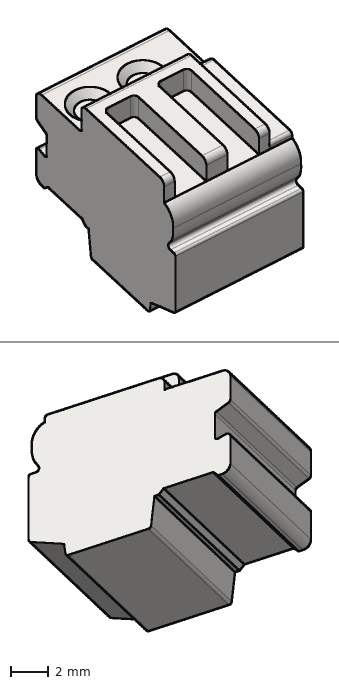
import cadquery as cq

LENGTH = 12.5
WIDTH = 8.5
HEIGHT = 10.6

POLE_COUNT = 2
POLE_PITCH = 3.5
POLES_WIDTH = POLE_COUNT * POLE_PITCH

TOWER_LEFT = 4.08
TOWER_RIGHT = 11.5
TOWER_RADIUS = 0.4
SHOULDER_HEIGHT = 8.6
SHOULDER_RADIUS = 0.5
TOWER_ROOT_RADIUS = 0.14

STRIP_HEIGHT = 9.45
STRIP_LEFT_RADIUS = 0.4
STRIP_RIGHT_RADIUS = 0.21

NOSE_TOP = 9.02
NOSE_CROWN = (12.08, 8.6)
NOSE_FRONT = (12.3, 7.75)
NOSE_CHEEK = (12.29, 7.22)
NOSE_UNDERSIDE = (12.15, 6.74)
NOSE_ROOT = 11.69
NOSE_ROOT_RADIUS = 0.2
SHELF_HEIGHT = 5.99
SHELF_RADIUS = 0.15

GROOVE_DEPTH = 0.95
GROOVE_TOP_OUTER = 6.46
GROOVE_TOP_INNER = 6.06
GROOVE_BOTTOM_OUTER = 4.52
GROOVE_BOTTOM_INNER = 4.29
GROOVE_RADIUS = 0.15
GROOVE_UPPER_LIP_RADIUS = 0.19
GROOVE_LOWER_LIP_RADIUS = 0.22

FOOT_HEIGHT = 1.98
FOOT_RADIUS = 0.5
FOOT_RIGHT = 0.76
RELIEF_RISE = 0.3
RELIEF_END = 4.42
PLUG_TOP_LEFT = 4.7
PLUG_BOTTOM_LEFT = 4.92
PLUG_BOTTOM_RIGHT = 10.19
PLUG_TOP_RIGHT = 10.3
PLUG_TOP_HEIGHT = 0.8
PLUG_RADIUS = 0.18
SLOPE_TOP_HEIGHT = 1.68
SLOPE_RADIUS = 0.22
SLOPE_ROOT_RADIUS = 0.12

FIRST_POCKET_Y = POLE_PITCH / 2
POCKET_LEFT = 5.11
POCKET_WIDTH = 2.1
POCKET_RADIUS = 0.3

SCREW_X = 2.6
FIRST_SCREW_Y = 1.66
SCREW_TOP_DIAMETER = 2.7
SCREW_FLOOR_DIAMETER = 1.72
SCREW_DEPTH = (SCREW_TOP_DIAMETER - SCREW_FLOOR_DIAMETER) / 2

PICK_REACH = 0.02


def extrude_along_y(outline, start, end):
    """Extrude a closed XZ outline from Y = start to Y = end."""
    return outline.extrude(start - end).translate((0, start, 0))


def round_edge(body, x, z, radius):
    """Round the edge that runs along Y through (x, z)."""
    picker = cq.selectors.BoxSelector(
        (x - PICK_REACH, 0, z - PICK_REACH), (x + PICK_REACH, WIDTH, z + PICK_REACH)
    )
    return body.edges("|Y").edges(picker).fillet(radius)


def make_base():
    """Full-width body: shoulder, groove, foot, plug, shelf and latch nose."""
    outline = (
        cq.Workplane("XZ")
        .moveTo(0, FOOT_HEIGHT)
        .lineTo(FOOT_RIGHT, FOOT_HEIGHT)
        .lineTo(FOOT_RIGHT + RELIEF_RISE, FOOT_HEIGHT + RELIEF_RISE)
        .lineTo(RELIEF_END - RELIEF_RISE, FOOT_HEIGHT + RELIEF_RISE)
        .lineTo(RELIEF_END, FOOT_HEIGHT)
        .lineTo(PLUG_TOP_LEFT, FOOT_HEIGHT)
        .lineTo(PLUG_BOTTOM_LEFT, 0)
        .lineTo(PLUG_BOTTOM_RIGHT, 0)
        .lineTo(PLUG_TOP_RIGHT, PLUG_TOP_HEIGHT)
        .lineTo(LENGTH, SLOPE_TOP_HEIGHT)
        .lineTo(LENGTH, SHELF_HEIGHT)
        .lineTo(NOSE_ROOT, SHELF_HEIGHT)
        .lineTo(*NOSE_UNDERSIDE)
        .threePointArc(NOSE_CHEEK, NOSE_FRONT)
        .threePointArc(NOSE_CROWN, (TOWER_RIGHT, NOSE_TOP))
        .lineTo(TOWER_LEFT, NOSE_TOP)
        .lineTo(TOWER_LEFT, SHOULDER_HEIGHT)
        .lineTo(0, SHOULDER_HEIGHT)
        .lineTo(0, GROOVE_TOP_OUTER)
        .lineTo(GROOVE_DEPTH, GROOVE_TOP_INNER)
        .lineTo(GROOVE_DEPTH, GROOVE_BOTTOM_INNER)
        .lineTo(0, GROOVE_BOTTOM_OUTER)
        .close()
    )
    body = extrude_along_y(outline, 0, WIDTH)
    rounded_corners = [
        (0, FOOT_HEIGHT, FOOT_RADIUS),
        (PLUG_BOTTOM_LEFT, 0, PLUG_RADIUS),
        (PLUG_BOTTOM_RIGHT, 0, PLUG_RADIUS),
        (PLUG_TOP_RIGHT, PLUG_TOP_HEIGHT, SLOPE_ROOT_RADIUS),
        (LENGTH, SLOPE_TOP_HEIGHT, SLOPE_RADIUS),
        (LENGTH, SHELF_HEIGHT, SHELF_RADIUS),
        (NOSE_ROOT, SHELF_HEIGHT, NOSE_ROOT_RADIUS),
        (0, SHOULDER_HEIGHT, SHOULDER_RADIUS),
        (0, GROOVE_TOP_OUTER, GROOVE_UPPER_LIP_RADIUS),
        (GROOVE_DEPTH, GROOVE_TOP_INNER, GROOVE_RADIUS),
        (GROOVE_DEPTH, GROOVE_BOTTOM_INNER, GROOVE_RADIUS),
        (0, GROOVE_BOTTOM_OUTER, GROOVE_LOWER_LIP_RADIUS),
    ]
    for x, z, radius in rounded_corners:
        body = round_edge(body, x, z, radius)
    return body


def make_upper_block(start, end, top, left_radius, right_radius):
    """Block standing on the base, with its two long top edges rounded."""
    outline = (
        cq.Workplane("XZ")
        .moveTo(TOWER_LEFT, SHOULDER_HEIGHT)
        .lineTo(TOWER_RIGHT, SHOULDER_HEIGHT)
        .lineTo(TOWER_RIGHT, top)
        .lineTo(TOWER_LEFT, top)
        .close()
    )
    block = extrude_along_y(outline, start, end)
    block = round_edge(block, TOWER_LEFT, top, left_radius)
    return round_edge(block, TOWER_RIGHT, top, right_radius)


def make_tower_root():
    """Concave fillet between the shoulder and the tower wall."""
    outline = (
        cq.Workplane("XZ")
        .moveTo(TOWER_LEFT, SHOULDER_HEIGHT)
        .lineTo(TOWER_LEFT, SHOULDER_HEIGHT + TOWER_ROOT_RADIUS)
        .radiusArc((TOWER_LEFT - TOWER_ROOT_RADIUS, SHOULDER_HEIGHT), TOWER_ROOT_RADIUS)
        .close()
    )
    return extrude_along_y(outline, 0, POLES_WIDTH)


def make_pocket(center_y):
    """Flat-floored pocket, level with the nose top and open at the +X wall."""
    length = LENGTH - POCKET_LEFT
    return (
        cq.Workplane("XY", origin=(POCKET_LEFT + length / 2, center_y, NOSE_TOP))
        .rect(length, POCKET_WIDTH)
        .extrude(HEIGHT - NOSE_TOP)
        .edges("|Z and <X")
        .fillet(POCKET_RADIUS)
    )


def make_screw_recess(center_y):
    """Conical recess with a flat floor."""
    return (
        cq.Workplane("XY", origin=(SCREW_X, center_y, SHOULDER_HEIGHT))
        .circle(SCREW_TOP_DIAMETER / 2)
        .workplane(offset=-SCREW_DEPTH)
        .circle(SCREW_FLOOR_DIAMETER / 2)
        .loft(ruled=True)
    )


tower = make_upper_block(0, POLES_WIDTH, HEIGHT, TOWER_RADIUS, TOWER_RADIUS)
end_strip = make_upper_block(
    POLES_WIDTH, WIDTH, STRIP_HEIGHT, STRIP_LEFT_RADIUS, STRIP_RIGHT_RADIUS
)

result = make_base().union(tower).union(end_strip).union(make_tower_root())
for pole in range(POLE_COUNT):
    result = result.cut(make_pocket(FIRST_POCKET_Y + pole * POLE_PITCH))
    result = result.cut(make_screw_recess(FIRST_SCREW_Y + pole * POLE_PITCH))